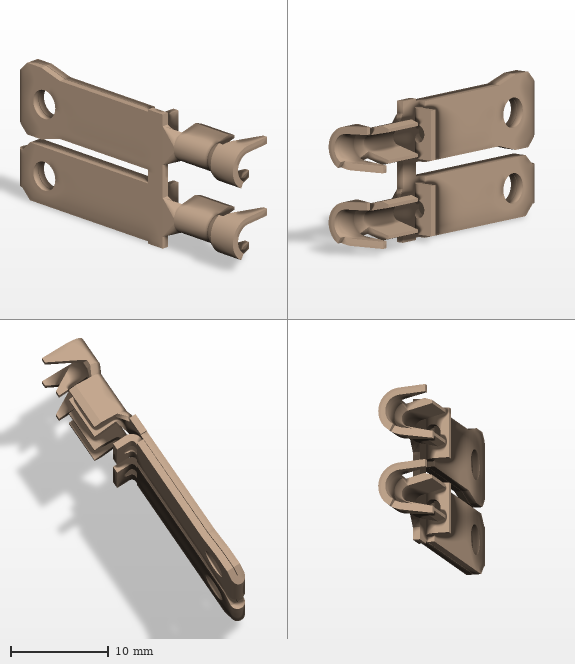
import cadquery as cq
import math


half_turn = 180
cos_45 = math.sqrt(0.5)

sheet = 0.75
pitch = 7.88
across = 9.45

fold_radius = 0.8
fold_gap = 2 * (fold_radius - sheet)
end_gap = 0.03
blade_half = 3.18
blade_end = 18.33
hole_x = 3.97
hole_radius = 1.58

head_half = 3.95
upper_nose_half = 2.43
head_end = 3.53
waist_start = 6.2

lower_nose_half = 2.05

tab_half = 2.6
tab_face_x = 19.78
tab_top = 3.53
tab_bend_radius = 0.47
tab_hole_radius = 0.95
tab_hole_y = 1.7

shoulder_start = 18.85
shoulder_end = 20.95
shoulder_half = 3.43

neck_half = 2.15
neck_corner = 0.03
neck_floor_half = 0.3
wire_start = 22.52
wire_end = 27.3
wire_radius = 1.6
wire_lean = 14.0
wire_wing_y = 3.18
wire_tip_y = 4.0
wire_tip_outer = 1.8
wire_tip_inner = 1.45

grip_start = 28.32
grip_end = 31.5
grip_radius = 2.35
grip_floor_y = -0.5
grip_lean = 4.0
grip_top = 4.55
grip_land = 0.57
grip_low_angle = 29.0


def on_circle(radius, centre_y, below):
    """Point (y, z) on the +Z half of a circle, a given angle below the horizontal."""
    angle = math.radians(below)
    return (centre_y - radius * math.sin(angle), radius * math.cos(angle))


def mirrored(point):
    return (point[0], -point[1])


def trough(x, radius, floor_y, below):
    """Wire of an open channel section at x, its edges lying on radii of the channel."""
    centre_y = floor_y + radius
    inner = radius - sheet
    outer_edge = on_circle(radius, centre_y, below)
    inner_edge = on_circle(inner, centre_y, below)
    return (
        cq.Workplane("YZ", origin=(x, 0, 0))
        .moveTo(*mirrored(outer_edge))
        .threePointArc((floor_y, 0), outer_edge)
        .lineTo(*inner_edge)
        .threePointArc((floor_y + sheet, 0), mirrored(inner_edge))
        .close()
    )


def loft_between(first, second):
    wires = [first.wire().val(), second.wire().val()]
    return cq.Workplane(cq.Solid.makeLoft(wires, True))


def blade_outline(nose, end_points):
    """Symmetrical XZ outline through the nose and end points of its +Z half, as a solid."""
    half = nose + end_points
    points = half + [mirrored(p) for p in reversed(half)]
    return cq.Workplane("XZ", origin=(0, -across, 0)).polyline(points).close().extrude(-2 * across)


def front_leaf():
    return cq.Workplane("XY").box(
        shoulder_end - fold_radius, sheet, 2 * across, centered=(False, False, True)
    ).translate((fold_radius, 0, 0))


def rear_leaf():
    """Fold, rear leaf and bent tab as one strip, wider than the blade."""
    bend_outer = tab_bend_radius + sheet
    bend_x = tab_face_x - bend_outer
    inner_y = sheet + end_gap
    outer_y = inner_y + sheet
    centre_y = outer_y + tab_bend_radius
    gap_radius = fold_gap / 2
    return (
        cq.Workplane("XY", origin=(0, 0, -across))
        .moveTo(fold_radius, 0)
        .threePointArc((0, fold_radius), (fold_radius, 2 * fold_radius))
        .lineTo(bend_x, outer_y)
        .threePointArc(
            (bend_x + tab_bend_radius * cos_45, centre_y - tab_bend_radius * cos_45),
            (bend_x + tab_bend_radius, centre_y),
        )
        .lineTo(tab_face_x - sheet, tab_top)
        .lineTo(tab_face_x, tab_top)
        .lineTo(tab_face_x, centre_y)
        .threePointArc(
            (bend_x + bend_outer * cos_45, centre_y - bend_outer * cos_45),
            (bend_x, inner_y),
        )
        .lineTo(fold_radius, sheet + fold_gap)
        .threePointArc((fold_radius - gap_radius, fold_radius), (fold_radius, sheet))
        .close()
        .extrude(2 * across)
    )


def blade(nose):
    """Double leaf with its contact hole, tab and shoulders."""
    front_end = [
        (shoulder_start, blade_half),
        (shoulder_start, shoulder_half),
        (shoulder_end, shoulder_half),
    ]
    rear_end = [(blade_end, blade_half), (blade_end, tab_half), (tab_face_x, tab_half)]
    front = front_leaf().intersect(blade_outline(nose, front_end))
    tab_hole = (
        cq.Workplane("YZ", origin=(blade_end, 0, 0)).center(tab_hole_y, 0)
        .circle(tab_hole_radius).extrude(tab_face_x - blade_end)
    )
    rear = rear_leaf().intersect(blade_outline(nose, rear_end)).cut(tab_hole)
    contact_hole = (
        cq.Workplane("XZ").center(hole_x, 0).circle(hole_radius).extrude(-2 * fold_radius)
    )
    return rear.cut(contact_hole).union(front.cut(contact_hole))


def neck():
    """Transition from the flat shoulder to the round wire crimp."""
    corner_inset = neck_corner * (1 - cos_45)
    side = neck_half - neck_corner
    flat = (
        cq.Workplane("YZ", origin=(shoulder_end, 0, 0))
        .moveTo(0, -side)
        .lineTo(0, side)
        .threePointArc((corner_inset, neck_half - corner_inset), (neck_corner, neck_half))
        .lineTo(sheet - neck_corner, neck_half)
        .threePointArc((sheet - corner_inset, neck_half - corner_inset), (sheet, side))
        .lineTo(sheet, -side)
        .threePointArc(
            (sheet - corner_inset, corner_inset - neck_half),
            (sheet - neck_corner, -neck_half),
        )
        .lineTo(neck_corner, -neck_half)
        .threePointArc((corner_inset, corner_inset - neck_half), (0, -side))
        .close()
    )
    inner = wire_radius - sheet
    middle = (90 + wire_lean) / 2
    floor_angle = 90 - math.degrees(math.asin(neck_floor_half / wire_radius))
    outer_floor = on_circle(wire_radius, wire_radius, floor_angle)
    outer_middle = on_circle(wire_radius, wire_radius, middle)
    outer_edge = on_circle(wire_radius, wire_radius, wire_lean)
    inner_floor = on_circle(inner, wire_radius, floor_angle)
    inner_middle = on_circle(inner, wire_radius, middle)
    inner_edge = on_circle(inner, wire_radius, wire_lean)
    curved = (
        cq.Workplane("YZ", origin=(wire_start, 0, 0))
        .moveTo(*mirrored(outer_floor))
        .lineTo(*outer_floor)
        .threePointArc(outer_middle, outer_edge)
        .lineTo(*inner_edge)
        .threePointArc(inner_middle, inner_floor)
        .lineTo(*mirrored(inner_floor))
        .threePointArc(mirrored(inner_middle), mirrored(inner_edge))
        .lineTo(*mirrored(outer_edge))
        .threePointArc(mirrored(outer_middle), mirrored(outer_floor))
        .close()
    )
    return loft_between(flat, curved)


def wire_crimp():
    """Open U with wings that lean outwards and taper at their tips."""
    outer_edge = on_circle(wire_radius, wire_radius, wire_lean)
    inner_edge = on_circle(wire_radius - sheet, wire_radius, wire_lean)
    slope = math.tan(math.radians(wire_lean))
    shoulder = (wire_wing_y, outer_edge[1] + (wire_wing_y - outer_edge[0]) * slope)
    tip_outer = (wire_tip_y, wire_tip_outer)
    tip_inner = (wire_tip_y, wire_tip_inner)
    return (
        cq.Workplane("YZ", origin=(wire_start, 0, 0))
        .moveTo(*mirrored(outer_edge))
        .threePointArc((0, 0), outer_edge)
        .lineTo(*shoulder)
        .lineTo(*tip_outer)
        .lineTo(*tip_inner)
        .lineTo(*inner_edge)
        .threePointArc((sheet, 0), mirrored(inner_edge))
        .lineTo(*mirrored(tip_inner))
        .lineTo(*mirrored(tip_outer))
        .lineTo(*mirrored(shoulder))
        .close()
        .extrude(wire_end - wire_start)
    )


def crimp_transition():
    """Flaring channel between the wire crimp and the insulation crimp."""
    return loft_between(
        trough(wire_end, wire_radius, 0, wire_lean),
        trough(grip_start, grip_radius, grip_floor_y, grip_low_angle),
    )


def wing_clearance():
    """Material removed beside the +Z wing, which rises towards the cable end."""
    centre_y = grip_floor_y + grip_radius
    low = on_circle(grip_radius, centre_y, grip_low_angle)
    slope = (
        cq.Workplane("XY")
        .polyline([
            (grip_start, low[0]),
            (grip_start + grip_land, low[0]),
            (grip_end - grip_land, grip_top),
            (grip_start, grip_top),
        ])
        .close()
        .extrude(across)
    )
    above_edge = (
        cq.Workplane("YZ", origin=(grip_start, 0, 0))
        .polyline([
            (centre_y, 0),
            on_circle(across, centre_y, grip_low_angle),
            (across, across),
            (across, 0),
        ])
        .close()
        .extrude(grip_end - grip_start)
    )
    return slope.intersect(above_edge)


def insulation_crimp():
    """Open U whose two triangular wings are staggered along X."""
    centre_y = grip_floor_y + grip_radius
    outer_edge = on_circle(grip_radius, centre_y, grip_lean)
    inner_edge = on_circle(grip_radius - sheet, centre_y, grip_lean)
    slope = math.tan(math.radians(grip_lean))
    outer_top = (grip_top, outer_edge[1] + (grip_top - outer_edge[0]) * slope)
    inner_top = (grip_top, inner_edge[1] + (grip_top - inner_edge[0]) * slope)
    channel = (
        cq.Workplane("YZ", origin=(grip_start, 0, 0))
        .moveTo(*mirrored(outer_edge))
        .threePointArc((grip_floor_y, 0), outer_edge)
        .lineTo(*outer_top)
        .lineTo(*inner_top)
        .lineTo(*inner_edge)
        .threePointArc((grip_floor_y + sheet, 0), mirrored(inner_edge))
        .lineTo(*mirrored(inner_top))
        .lineTo(*mirrored(outer_top))
        .close()
        .extrude(grip_end - grip_start)
    )
    clearance = wing_clearance()
    grip_middle = ((grip_start + grip_end) / 2, 0, 0)
    opposite = clearance.rotate(grip_middle, (grip_middle[0], 1, 0), half_turn)
    return channel.cut(clearance).cut(opposite)


def terminal(nose):
    return (
        blade(nose)
        .union(neck())
        .union(wire_crimp())
        .union(crimp_transition())
        .union(insulation_crimp())
    )


def upper_terminal():
    """Terminal whose blade widens to a head with a bevelled tip."""
    nose = [
        (0, upper_nose_half),
        (head_half - upper_nose_half, head_half),
        (head_end, head_half),
        (waist_start, blade_half),
    ]
    return terminal(nose).translate((0, 0, pitch))


def lower_terminal():
    """Terminal with a plain blade and a narrow fold."""
    nose = [
        (0, lower_nose_half),
        (fold_radius, lower_nose_half),
        (fold_radius + blade_half - lower_nose_half, blade_half),
    ]
    return terminal(nose)


def link():
    """Strip that joins the shoulders of the two terminals."""
    return (
        cq.Workplane("XY")
        .box(shoulder_end - shoulder_start, sheet, pitch - 2 * shoulder_half, centered=False)
        .translate((shoulder_start, 0, shoulder_half))
    )


result = cq.Compound.makeCompound([
    upper_terminal().val(),
    lower_terminal().val(),
    link().val(),
])